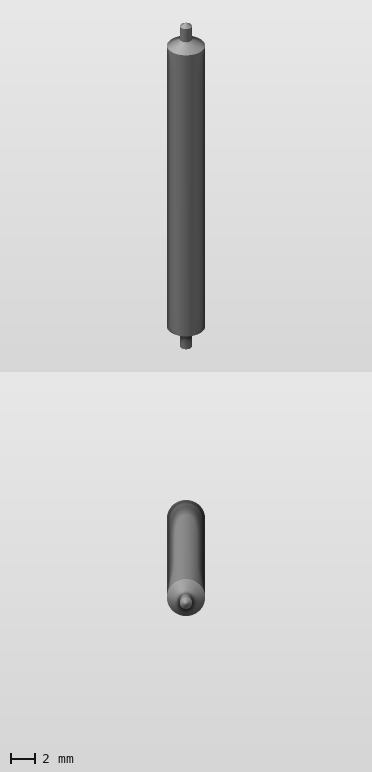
import cadquery as cq

total_length = 31.5
barrel_diameter = 3.15
pin_diameter = 1.0

tip_length = 0.3
shank_length = 1.25
shoulder_length = 0.63

barrel_radius = barrel_diameter / 2
pin_radius = pin_diameter / 2
tip_z = total_length / 2
shank_end_z = tip_z - tip_length
barrel_end_z = shank_end_z - shank_length
shoulder_z = barrel_end_z - shoulder_length


def revolve_about_z(profile_points):
    """Revolve a closed profile of (radius, z) points about the Z axis."""
    profile = cq.Workplane("XZ").polyline(profile_points).close()
    return profile.revolve(360, (0, 0, 0), (0, 1, 0))


def make_barrel():
    """Solid barrel whose conical shoulders narrow to the pin diameter."""
    return revolve_about_z([
        (0, -barrel_end_z),
        (pin_radius, -barrel_end_z),
        (barrel_radius, -shoulder_z),
        (barrel_radius, shoulder_z),
        (pin_radius, barrel_end_z),
        (0, barrel_end_z),
    ])


def make_pin(side):
    """Contact pin with a conical tip; side is +1 for the top end, -1 for the bottom."""
    return revolve_about_z([
        (0, side * barrel_end_z),
        (pin_radius, side * barrel_end_z),
        (pin_radius, side * shank_end_z),
        (0, side * tip_z),
    ])


barrel = make_barrel()
pins = [make_pin(side) for side in (1, -1)]

result = cq.Compound.makeCompound([barrel.val(), *[pin.val() for pin in pins]])